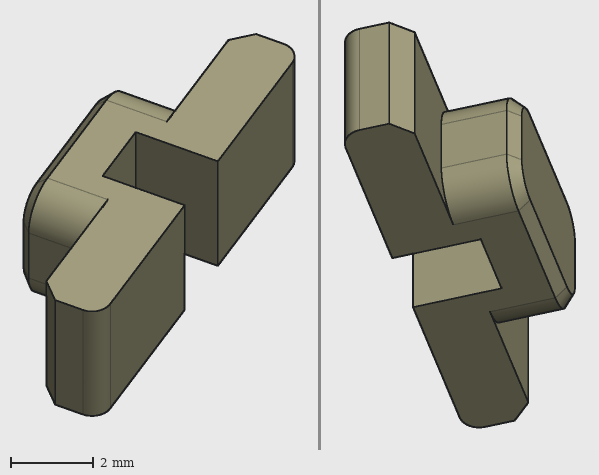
import cadquery as cq

length = 10.6
height = 3.5
depth = 3.7
bar_thickness = 1.75
front_chamfer = 0.5
back_radius = 0.5
boss_width = 5.1
boss_radius = 1.0
boss_chamfer = 0.3
slot_width = 1.75
slot_depth = 2.25

back_x = depth / 2
bar_front_x = back_x - bar_thickness


def make_bar():
    """Long bar with chamfered front corners and rounded back corners."""
    bar = cq.Workplane("XY").box(bar_thickness, length, height)
    bar = bar.edges("|Z and <X").chamfer(front_chamfer)
    bar = bar.edges("|Z and >X").fillet(back_radius)
    return bar.translate(((bar_front_x + back_x) / 2, 0, 0))


def make_boss():
    """Rounded rectangular boss, extended to the bar back for a solid overlap."""
    boss = cq.Workplane("XY").box(depth, boss_width, height)
    boss = boss.edges("|X").fillet(boss_radius)
    return boss.faces("<X").chamfer(boss_chamfer)


def make_slot():
    """Slot open at the back, running through the full height."""
    slot = cq.Workplane("XY").box(slot_depth, slot_width, height)
    return slot.translate((back_x - slot_depth / 2, 0, 0))


result = make_bar().union(make_boss()).cut(make_slot())